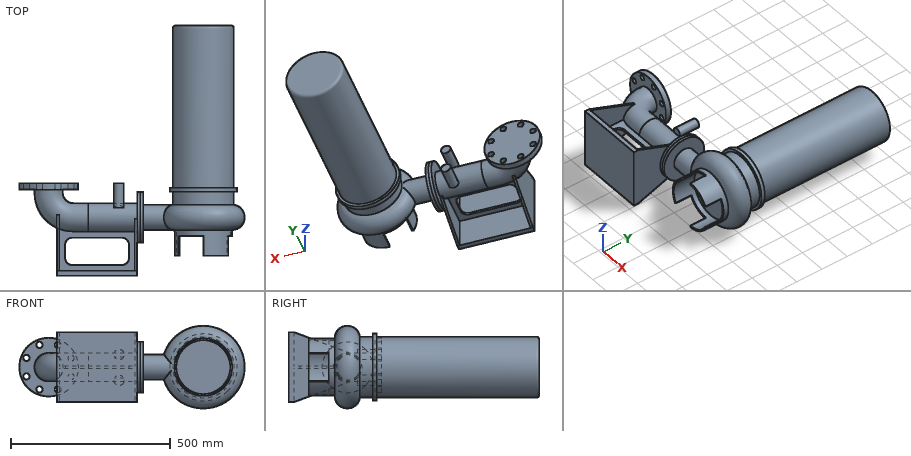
import cadquery as cq
import math


TOTAL_LENGTH = 787.0

TUBE_DIAMETER = 80.0
TUBE_RADIUS = TUBE_DIAMETER / 2
CASING_DIAMETER = 260.5
RING_RADIUS = CASING_DIAMETER / 2 - TUBE_RADIUS
NECK_TOP = 79.5

MOTOR_DIAMETER = 192.0
MOTOR_TOP = 603.0
MOTOR_EDGE_FILLET = 9.5
MOTOR_FLANGE_DIAMETER = 212.0
MOTOR_FLANGE_THICKNESS = 13.0

STRAINER_OUTER_DIAMETER = 181.0
STRAINER_INNER_DIAMETER = 169.0
STRAINER_RING_HEIGHT = 19.0
STRAINER_HEIGHT = 81.0
LEG_COUNT = 3
LEG_PITCH = 360 / LEG_COUNT
LEG_START_ANGLE = 30.0

COUPLING_DIAMETER = 160.0
COUPLING_LENGTH = 20.0
COUPLING_START = -208.0
COUPLING_JOINT = COUPLING_START + COUPLING_LENGTH / 2
COUPLING_END = COUPLING_START + COUPLING_LENGTH

PIPE_DIAMETER = 90.0
PIPE_RADIUS = PIPE_DIAMETER / 2
PIPE_START = -361.0
STUB_DIAMETER = 32.0
STUB_X = -265.0
STUB_SPACING = 81.0
STUB_BOTTOM = 31.0

BEND_RADIUS = 76.0
OUTLET_X = -485.5
OUTLET_TOP = 107.0
OUTLET_DIAMETER = 185.0
OUTLET_THICKNESS = 20.5
BOLT_COUNT = 8
BOLT_DIAMETER = 19.0
BOLT_CIRCLE_DIAMETER = 151.0

BRACKET_LENGTH = 252.0
BRACKET_END = COUPLING_START
BRACKET_START = BRACKET_END - BRACKET_LENGTH
BRACKET_MIDDLE = (BRACKET_START + BRACKET_END) / 2
BRACKET_BOTTOM = MOTOR_TOP - TOTAL_LENGTH
BRACKET_WIDTH = 220.0
BASE_THICKNESS = 16.5
BASE_TOP = BRACKET_BOTTOM + BASE_THICKNESS
PLATE_THICKNESS = 8.0
OUTLET_PLATE_TOP = 11.0
COUPLING_PLATE_TOP = -4.0
OUTLET_PLATE_TOP_WIDTH = 86.5
PLATE_TAPER = (BRACKET_WIDTH - OUTLET_PLATE_TOP_WIDTH) / 2 / (OUTLET_PLATE_TOP - BASE_TOP)
SLOT_LENGTH = 200.0
SLOT_HEIGHT = 85.0
SLOT_CENTRE_Y = -107.0
SLOT_CORNER_RADIUS = 22.0


def cylinder_y(diameter, bottom, top, x=0.0, z=0.0):
    """Cylinder along +Y between two Y levels."""
    start = cq.Vector(x, bottom, z)
    return cq.Workplane(cq.Solid.makeCylinder(diameter / 2, top - bottom, start, cq.Vector(0, 1, 0)))


def cylinder_x(diameter, start_x, end_x):
    """Cylinder on the X axis between two X positions."""
    start = cq.Vector(start_x, 0, 0)
    return cq.Workplane(cq.Solid.makeCylinder(diameter / 2, end_x - start_x, start, cq.Vector(1, 0, 0)))


def make_volute():
    casing = (
        cq.Workplane("YZ")
        .moveTo(-TUBE_RADIUS, 0)
        .lineTo(-TUBE_RADIUS, RING_RADIUS)
        .threePointArc((0, RING_RADIUS + TUBE_RADIUS), (TUBE_RADIUS, RING_RADIUS))
        .lineTo(TUBE_RADIUS, 0)
        .close()
        .revolve(360, (0, 0, 0), (1, 0, 0))
    )
    neck = cylinder_y(MOTOR_DIAMETER, 0, NECK_TOP)
    inlet = cylinder_x(TUBE_DIAMETER, COUPLING_JOINT, -RING_RADIUS)
    flange = cylinder_x(COUPLING_DIAMETER, COUPLING_JOINT, COUPLING_END)
    return casing.union(neck).union(inlet).union(flange)


def make_motor():
    barrel = cylinder_y(MOTOR_DIAMETER, NECK_TOP, MOTOR_TOP).faces(">Y").edges().fillet(MOTOR_EDGE_FILLET)
    flange = cylinder_y(MOTOR_FLANGE_DIAMETER, NECK_TOP, NECK_TOP + MOTOR_FLANGE_THICKNESS)
    return barrel.union(flange)


def make_strainer():
    top = -TUBE_RADIUS
    bottom = top - STRAINER_HEIGHT
    ring_bottom = top - STRAINER_RING_HEIGHT
    shell = cylinder_y(STRAINER_OUTER_DIAMETER, bottom, top)
    shell = shell.cut(cylinder_y(STRAINER_INNER_DIAMETER, bottom, top))
    reach = STRAINER_OUTER_DIAMETER
    for index in range(LEG_COUNT):
        first = math.radians(LEG_START_ANGLE + (index + 0.5) * LEG_PITCH)
        last = math.radians(LEG_START_ANGLE + (index + 1) * LEG_PITCH)
        gap = (
            cq.Workplane("XZ", origin=(0, ring_bottom, 0))
            .lineTo(reach * math.cos(first), reach * math.sin(first))
            .lineTo(reach * math.cos(last), reach * math.sin(last))
            .close()
            .extrude(ring_bottom - bottom)
        )
        shell = shell.cut(gap)
    return shell


def make_pipe():
    pipe = cylinder_x(PIPE_DIAMETER, PIPE_START, COUPLING_JOINT)
    pipe = pipe.union(cylinder_x(COUPLING_DIAMETER, COUPLING_START, COUPLING_JOINT))
    for side in (-1, 1):
        stub = cylinder_y(STUB_DIAMETER, STUB_BOTTOM, OUTLET_TOP, STUB_X, side * STUB_SPACING / 2)
        pipe = pipe.union(stub)
    return pipe


def make_elbow():
    flange_bottom = OUTLET_TOP - OUTLET_THICKNESS
    bend_end = OUTLET_X + BEND_RADIUS
    bend = (
        cq.Workplane("YZ", origin=(bend_end, 0, 0))
        .circle(PIPE_RADIUS)
        .revolve(90, (BEND_RADIUS, 8, 0), (BEND_RADIUS, 0, 0))
    )
    elbow = bend.union(cylinder_x(PIPE_DIAMETER, bend_end, PIPE_START))
    elbow = elbow.union(cylinder_y(PIPE_DIAMETER, BEND_RADIUS, flange_bottom, OUTLET_X))
    elbow = elbow.union(cylinder_y(OUTLET_DIAMETER, flange_bottom, OUTLET_TOP, OUTLET_X))
    for index in range(BOLT_COUNT):
        angle = 2 * math.pi * (index + 0.5) / BOLT_COUNT
        x = OUTLET_X + BOLT_CIRCLE_DIAMETER / 2 * math.cos(angle)
        z = BOLT_CIRCLE_DIAMETER / 2 * math.sin(angle)
        elbow = elbow.cut(cylinder_y(BOLT_DIAMETER, flange_bottom, OUTLET_TOP, x, z))
    return elbow


def make_side_plate(start_x, top):
    """Tapered plate; both plates share the same slope and differ only in their top level."""
    half_base = BRACKET_WIDTH / 2
    half_top = half_base - PLATE_TAPER * (top - BASE_TOP)
    return (
        cq.Workplane("YZ", origin=(start_x, 0, 0))
        .moveTo(BRACKET_BOTTOM, -half_base)
        .lineTo(BASE_TOP, -half_base)
        .lineTo(top, -half_top)
        .lineTo(top, half_top)
        .lineTo(BASE_TOP, half_base)
        .lineTo(BRACKET_BOTTOM, half_base)
        .close()
        .extrude(PLATE_THICKNESS)
    )


def make_bracket(pipe, elbow):
    base = cq.Workplane("XY").box(BRACKET_LENGTH, BASE_THICKNESS, BRACKET_WIDTH)
    bracket = base.translate((BRACKET_MIDDLE, BRACKET_BOTTOM + BASE_THICKNESS / 2, 0))
    web = cq.Workplane("XY").box(BRACKET_LENGTH, -BASE_TOP, PLATE_THICKNESS)
    slot = cq.Workplane("XY").box(SLOT_LENGTH, SLOT_HEIGHT, PLATE_THICKNESS)
    slot = slot.edges("|Z").fillet(SLOT_CORNER_RADIUS).translate((BRACKET_MIDDLE, SLOT_CENTRE_Y, 0))
    bracket = bracket.union(web.translate((BRACKET_MIDDLE, BASE_TOP / 2, 0)).cut(slot))
    bracket = bracket.union(make_side_plate(BRACKET_START, OUTLET_PLATE_TOP))
    bracket = bracket.union(make_side_plate(BRACKET_END - PLATE_THICKNESS, COUPLING_PLATE_TOP))
    return bracket.cut(pipe).cut(elbow)


volute = make_volute()
motor = make_motor()
strainer = make_strainer()
pipe = make_pipe()
elbow = make_elbow()
bracket = make_bracket(pipe, elbow)

result = cq.Compound.makeCompound(
    [body.solids().val() for body in (volute, motor, strainer, pipe, elbow, bracket)]
)